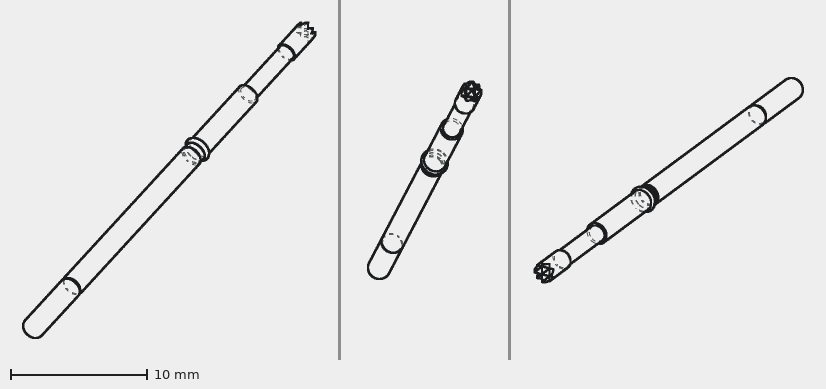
import cadquery as cq
import math

total_length = 37.0

tube_diameter = 1.67
collar_diameter = 2.0
neck_diameter = 1.4
plunger_diameter = 1.3
head_diameter = 1.5

head_rear = total_length - 2.9
sleeve_front = total_length - 8.0
collar_front = total_length - 14.5
collar_rear = total_length - 15.0
neck_rear = total_length - 15.55
crimp_station = 5.55

land_diameter = 1.6
land_rear = collar_rear - 0.2
land_rounding_rear = collar_rear - 0.42

crimp_depth = 0.12
crimp_root_half_width = 0.05
crimp_half_width = 0.22
rear_rounding = 0.45

tooth_pitch = 0.64
groove_depth = 0.54
tooth_rows = 3


def rod(diameter, start, end):
    """Cylinder on the Y axis between two stations."""
    plane = cq.Workplane("XZ", origin=(0, start, 0))
    return plane.circle(diameter / 2).extrude(start - end)


def level_arc_midpoint(level_radius, level_station, root_radius, root_station):
    """Middle of the arc that leaves a cylinder tangentially and ends at a smaller root radius."""
    rise = level_radius - root_radius
    run = root_station - level_station
    arc_radius = (rise**2 + run**2) / (2 * rise)
    half_angle = math.asin(run / arc_radius) / 2
    centre_radius = level_radius - arc_radius
    return (
        centre_radius + arc_radius * math.cos(half_angle),
        level_station + arc_radius * math.sin(half_angle),
    )


def make_sleeve():
    """Tube with a rounded rear end, a crimp groove, a neck, a land and a bulged collar."""
    tube_radius = tube_diameter / 2
    neck_radius = neck_diameter / 2
    land_radius = land_diameter / 2
    collar_middle = (collar_front + collar_rear) / 2
    corner = rear_rounding * (1 - math.sqrt(0.5))
    crimp_root_radius = tube_radius - crimp_depth
    crimp_rear = crimp_station - crimp_half_width
    crimp_front = crimp_station + crimp_half_width
    root_rear = crimp_station - crimp_root_half_width
    root_front = crimp_station + crimp_root_half_width
    crimp_rear_flank = level_arc_midpoint(tube_radius, crimp_rear, crimp_root_radius, root_rear)
    crimp_front_flank = level_arc_midpoint(tube_radius, crimp_front, crimp_root_radius, root_front)
    land_flank = level_arc_midpoint(land_radius, land_rear, neck_radius, land_rounding_rear)
    return (
        cq.Workplane("XY")
        .lineTo(tube_radius - rear_rounding, 0)
        .threePointArc((tube_radius - corner, corner), (tube_radius, rear_rounding))
        .lineTo(tube_radius, crimp_rear)
        .threePointArc(crimp_rear_flank, (crimp_root_radius, root_rear))
        .lineTo(crimp_root_radius, root_front)
        .threePointArc(crimp_front_flank, (tube_radius, crimp_front))
        .lineTo(tube_radius, neck_rear)
        .lineTo(neck_radius, neck_rear)
        .lineTo(neck_radius, land_rounding_rear)
        .threePointArc(land_flank, (land_radius, land_rear))
        .lineTo(land_radius, collar_rear)
        .lineTo(tube_radius, collar_rear)
        .threePointArc((collar_diameter / 2, collar_middle), (tube_radius, collar_front))
        .lineTo(tube_radius, sleeve_front)
        .lineTo(0, sleeve_front)
        .close()
        .revolve(360, (0, 0, 0), (0, 1, 0))
    )


def make_plunger():
    """Thin shaft that carries the wider contact head."""
    shaft = rod(plunger_diameter, sleeve_front, head_rear)
    return shaft.union(rod(head_diameter, head_rear, total_length))


def cut_tip_grooves(body):
    """Cut V-grooves across the tip, one set along Z and the same set along X."""
    for index in range(tooth_rows + 1):
        centre = (index - tooth_rows / 2) * tooth_pitch
        groove = (
            cq.Workplane("XY")
            .moveTo(centre - tooth_pitch / 2, total_length)
            .lineTo(centre, total_length - groove_depth)
            .lineTo(centre + tooth_pitch / 2, total_length)
            .close()
            .extrude(head_diameter, both=True)
        )
        body = body.cut(groove)
        body = body.cut(groove.rotate((0, 0, 0), (0, 1, 0), 90))
    return body


result = make_sleeve().union(cut_tip_grooves(make_plunger()))